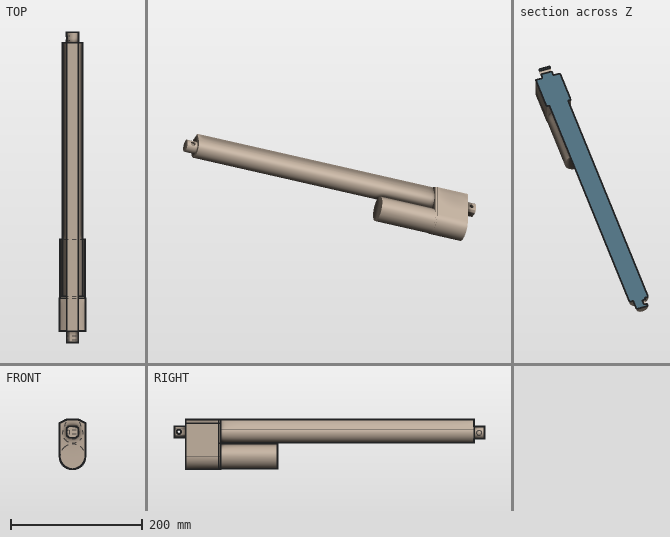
import cadquery as cq
import math

total_length = 472.8
top_flat_width = 18.0
axis_z = -20.5

gearbox_rear = 17.5
gearbox_front = 67.5
seal_front = 70.5
seal_width = 39.0
gearbox_width = 39.5
gearbox_height = 76.0
shoulder_drop = 5.5
gearbox_arc_z = -gearbox_height + gearbox_width / 2

motor_diameter = 38.5
motor_end = 157.5

rod_length = 16.0
tube_end = total_length - rod_length
tube_diameter = 30.5
rod_diameter = 19.0
rod_hole_diameter = 7.5
rod_hole_from_tip = 9.0
rod_hole_depth = 4.5

lug_width = 18.0
lug_height = 17.5
lug_center_z = -19.0
lug_chamfer = 3.5
lug_edge_radius = 1.55
lug_hole_diameter = 6.0
lug_hole_y = 7.0
lug_root_overlap = 4.5


def extrude_along_y(outline, start, end):
    """Move an outline drawn at Y = 0 to start and extrude it to end."""
    return outline.extrude(start - end).translate((0, start, 0))


def cylinder_along_y(diameter, z, start, end):
    outline = cq.Workplane("XZ").center(0, z).circle(diameter / 2)
    return extrude_along_y(outline, start, end)


def make_housing(width, start, end):
    """Sloped shoulders above, straight sides and a half-round bottom."""
    half_width = width / 2
    half_flat = top_flat_width / 2
    outline = (
        cq.Workplane("XZ")
        .moveTo(-half_flat, 0)
        .lineTo(half_flat, 0)
        .lineTo(half_width, -shoulder_drop)
        .lineTo(half_width, gearbox_arc_z)
        .threePointArc((0, gearbox_arc_z - half_width), (-half_width, gearbox_arc_z))
        .lineTo(-half_width, -shoulder_drop)
        .close()
    )
    return extrude_along_y(outline, start, end)


def make_tube():
    """Flat top with sloping sides tangent to a round underside."""
    radius = tube_diameter / 2
    half_flat = top_flat_width / 2
    corner_distance = math.hypot(half_flat, axis_z)
    tangent_angle = math.atan2(-axis_z, half_flat) - math.acos(radius / corner_distance)
    tangent_x = radius * math.cos(tangent_angle)
    tangent_z = axis_z + radius * math.sin(tangent_angle)
    outline = (
        cq.Workplane("XZ")
        .moveTo(-half_flat, 0)
        .lineTo(half_flat, 0)
        .lineTo(tangent_x, tangent_z)
        .threePointArc((0, axis_z - radius), (-tangent_x, tangent_z))
        .close()
    )
    return extrude_along_y(outline, seal_front, tube_end)


def make_rod():
    """Round rod end with a blind pin hole in its -X side."""
    rod = cylinder_along_y(rod_diameter, axis_z, tube_end, total_length)
    hole = (
        cq.Workplane("YZ", origin=(-rod_diameter / 2, 0, 0))
        .center(total_length - rod_hole_from_tip, axis_z)
        .circle(rod_hole_diameter / 2)
        .extrude(rod_hole_depth)
    )
    return rod.cut(hole)


def make_lug():
    """Chamfered square lug with softened edges and a cross hole."""
    outline = cq.Workplane("XZ").center(0, lug_center_z).rect(lug_width, lug_height)
    lug = extrude_along_y(outline, 0, gearbox_rear + lug_root_overlap)
    lug = lug.edges("|Y").chamfer(lug_chamfer).edges("|Y").fillet(lug_edge_radius)
    hole = (
        cq.Workplane("YZ")
        .center(lug_hole_y, lug_center_z)
        .circle(lug_hole_diameter / 2)
        .extrude(lug_width, both=True)
    )
    return lug.cut(hole)


gearbox = make_housing(gearbox_width, gearbox_rear, gearbox_front)
seal = make_housing(seal_width, gearbox_front, seal_front)
motor = cylinder_along_y(motor_diameter, gearbox_arc_z, seal_front, motor_end)

result = gearbox.union(seal).union(motor).union(make_tube()).union(make_rod()).union(make_lug())